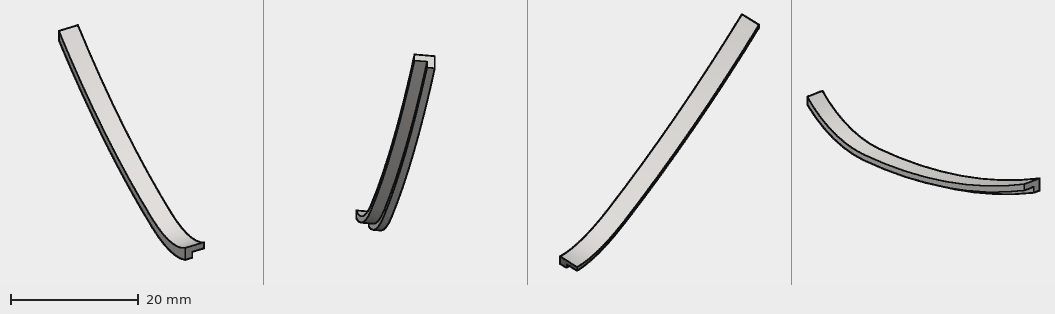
import cadquery as cq
import math

LENGTH = 50.0
WIDTH = 3.25
WEB_WIDTH = 1.25
WEB_DEPTH = 1.965
FLANGE_THICKNESS = 1.0
HEIGHT = 9.47

LONG_RADIUS = 89.6
SHORT_RADIUS = 18.58

LONG_RISE = HEIGHT - WEB_DEPTH
LOW_POINT_X = math.sqrt(LONG_RADIUS**2 - (LONG_RADIUS - LONG_RISE)**2)

JOINT_X = 36.96
JOINT_ANGLE = math.asin((JOINT_X - LOW_POINT_X) / LONG_RADIUS)

LONG_CENTER = (LOW_POINT_X, WEB_DEPTH + LONG_RADIUS)
CENTER_SPACING = LONG_RADIUS - SHORT_RADIUS
SHORT_CENTER = (
    LONG_CENTER[0] + CENTER_SPACING * math.sin(JOINT_ANGLE),
    LONG_CENTER[1] - CENTER_SPACING * math.cos(JOINT_ANGLE),
)


def arc_point(center, radius, angle):
    """Point on an arc, with the angle measured from straight down towards +X."""
    return (center[0] + radius * math.sin(angle), center[1] - radius * math.cos(angle))


def arc_points(depth):
    """Left end, long arc middle, joint, short arc middle and right end of the curve below the top."""
    long_radius = LONG_RADIUS + depth
    short_radius = SHORT_RADIUS + depth
    left_angle = -math.asin(LONG_CENTER[0] / long_radius)
    right_angle = math.asin((LENGTH - SHORT_CENTER[0]) / short_radius)
    return (
        arc_point(LONG_CENTER, long_radius, left_angle),
        arc_point(LONG_CENTER, long_radius, (left_angle + JOINT_ANGLE) / 2),
        arc_point(LONG_CENTER, long_radius, JOINT_ANGLE),
        arc_point(SHORT_CENTER, short_radius, (JOINT_ANGLE + right_angle) / 2),
        arc_point(SHORT_CENTER, short_radius, right_angle),
    )


def curved_strip(depth, width):
    """Strip of even radial depth under the top surface, from the -Y face over the given width."""
    top_left, top_long_mid, top_joint, top_short_mid, top_right = arc_points(0)
    low_left, low_long_mid, low_joint, low_short_mid, low_right = arc_points(depth)
    outline = (
        cq.Workplane("XZ", origin=(0, -WIDTH / 2, 0))
        .moveTo(*top_left)
        .threePointArc(top_long_mid, top_joint)
        .threePointArc(top_short_mid, top_right)
        .lineTo(*low_right)
        .threePointArc(low_short_mid, low_joint)
        .threePointArc(low_long_mid, low_left)
        .close()
    )
    return outline.extrude(-width)


flange = curved_strip(FLANGE_THICKNESS, WIDTH)
web = curved_strip(WEB_DEPTH, WEB_WIDTH)

result = flange.union(web)